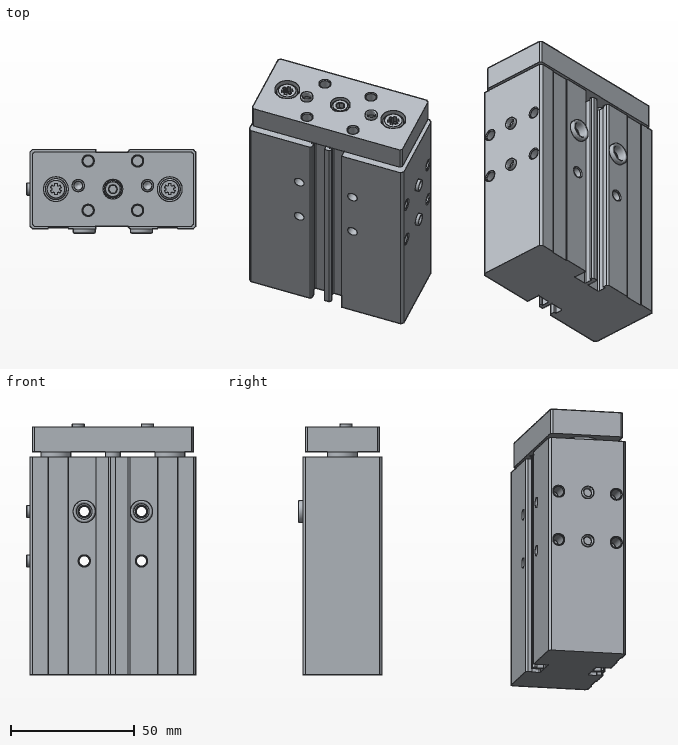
import cadquery as cq
import math

total_height = 101.3
housing_height = 88.0
plate_gap = 2.0
plate_thickness = 10.0
plate_bottom = housing_height + plate_gap
plate_top = plate_bottom + plate_thickness

housing_width = 67.0
housing_depth = 32.0
housing_chamfer = 1.0
left_face = -housing_width / 2
front_face = -housing_depth / 2

slot_start = -6.9
slot_pitch = 7.9
slot_width = 5.2
slot_depth = 6.1
slot_bevel = 0.7
slot_lip_depth = 2.5
slot_undercut = 1.0
slot_floor_bevel = 0.5
rib_setback = 1.0

relief_inner = 17.7
relief_outer = 25.9
relief_slope = 0.2
relief_depth = 0.4

hole_pitch = 20.0
upper_row = 65.9
row_heights = (upper_row, upper_row - hole_pitch)
front_hole_x = 11.5
side_tap_y = 12.0

tap_diameter = 4.2
tap_mouth_diameter = 5.0
side_tap_depth = 10.0
drill_point_angle = 118

large_sleeve_diameter = 9.0
large_sleeve_bore = 6.3
large_sleeve_inset = 2.1
large_sleeve_reach = 1.8
small_sleeve_diameter = 5.0
small_sleeve_bore = 3.5
side_sleeve_inset = 0.7
side_sleeve_reach = 1.3
top_sleeve_inset = 1.2
top_sleeve_reach = total_height - plate_top
top_sleeve_x = 14.0
top_pilot_depth = 4.1

plate_width = 65.0
plate_depth = 30.0
plate_chamfer = 0.8
plate_pattern_y = 1.4
guide_x = 23.0
guide_diameter = 12.2
piston_diameter = 6.0
rod_end_wall = 10.0

piston_recess_diameter = 8.0
piston_recess_depth = 4.1
piston_head_diameter = 7.0
piston_head_chamfer = 0.5
piston_head_sink = 0.6
piston_socket_sides = 6
piston_socket_flats = 3.0
piston_lead_in_diameter = 3.5
piston_socket_depth = 2.9

counterbore_diameter = 10.0
counterbore_depth = 4.1
screw_head_diameter = 8.5
screw_head_chamfer = 0.7
screw_sink = 0.6
torx_core_diameter = 3.0
torx_tip_diameter = 4.5
torx_lobe_width = 1.1
torx_lobe_count = 6
torx_depth = 2.9

INTO_PLATE = (0, 0, -1)
INTO_FRONT = (0, 1, 0)
INTO_LEFT = (1, 0, 0)
UP = (0, 0, 1)


def cylinder(diameter, length, start, direction):
    """Cylinder from a start point along a direction."""
    solid = cq.Solid.makeCylinder(diameter / 2, length, cq.Vector(*start), cq.Vector(*direction))
    return cq.Workplane(solid)


def cone(start_diameter, end_diameter, length, start, direction):
    """Cone or cone frustum from a start point along a direction."""
    solid = cq.Solid.makeCone(
        start_diameter / 2, end_diameter / 2, length, cq.Vector(*start), cq.Vector(*direction)
    )
    return cq.Workplane(solid)


def tapped_hole(depth, start, direction):
    """Cutter for a tapped hole with a 45 degree mouth."""
    mouth_depth = (tap_mouth_diameter - tap_diameter) / 2
    mouth = cone(tap_mouth_diameter, tap_diameter, mouth_depth, start, direction)
    return cylinder(tap_diameter, depth, start, direction).union(mouth)


def drill_point(diameter, start, direction):
    """Conical bottom that a drill leaves."""
    length = diameter / 2 / math.tan(math.radians(drill_point_angle / 2))
    return cone(diameter, 0, length, start, direction)


def front_slot(left_edge, mouth_y):
    """Sensor slot whose right wall has a bevelled lip and an undercut behind it."""
    right_edge = left_edge + slot_width
    undercut_edge = right_edge + slot_undercut
    lip_y = front_face + slot_lip_depth
    floor_y = front_face + slot_depth
    return (
        cq.Workplane("XY")
        .moveTo(left_edge, mouth_y)
        .lineTo(left_edge, floor_y)
        .lineTo(undercut_edge - slot_floor_bevel, floor_y)
        .lineTo(undercut_edge, floor_y - slot_floor_bevel)
        .lineTo(undercut_edge, lip_y)
        .lineTo(right_edge, lip_y)
        .lineTo(right_edge, mouth_y + slot_bevel)
        .lineTo(right_edge + slot_bevel, mouth_y)
        .close()
        .extrude(housing_height)
    )


def front_box(x_start, x_end, depth):
    """Full-height channel cut into the front face."""
    return cq.Workplane("XY").box(
        x_end - x_start, depth, housing_height, centered=False
    ).translate((x_start, front_face, 0))


def slot_pair():
    """Both sensor slots and the set-back of the rib between them."""
    second_start = slot_start + slot_pitch
    set_back = front_box(slot_start, second_start + slot_width, rib_setback)
    left_slot = front_slot(slot_start, front_face + rib_setback)
    right_slot = front_slot(second_start, front_face)
    return set_back.union(left_slot).union(right_slot)


def relief_strip(side):
    """Shallow strip with sloping sides in the front face."""
    floor_y = front_face + relief_depth
    return (
        cq.Workplane("XY")
        .moveTo(side * relief_inner, front_face)
        .lineTo(side * (relief_inner + relief_slope), floor_y)
        .lineTo(side * (relief_outer - relief_slope), floor_y)
        .lineTo(side * relief_outer, front_face)
        .close()
        .extrude(housing_height)
    )


def make_housing():
    housing = (
        cq.Workplane("XY")
        .rect(housing_width, housing_depth)
        .extrude(housing_height)
        .edges("|Z")
        .chamfer(housing_chamfer)
    )
    front_slots = slot_pair()
    housing = housing.cut(front_slots).cut(front_slots.mirror("XZ"))
    for side in (-1, 1):
        housing = housing.cut(relief_strip(side))

    upper_hole_y = front_face + large_sleeve_inset
    for x in (-front_hole_x, front_hole_x):
        seat = (x, front_face, upper_row)
        housing = housing.cut(cylinder(large_sleeve_diameter, large_sleeve_inset, seat, INTO_FRONT))
        for z, y in zip(row_heights, (upper_hole_y, front_face)):
            housing = housing.cut(tapped_hole(housing_depth, (x, y, z), INTO_FRONT))

    for z in row_heights:
        seat = (left_face, 0, z)
        housing = housing.cut(cylinder(small_sleeve_diameter, side_sleeve_inset, seat, INTO_LEFT))
        for y in (-side_tap_y, side_tap_y):
            housing = housing.cut(tapped_hole(side_tap_depth, (left_face, y, z), INTO_LEFT))
            tip_start = (left_face + side_tap_depth, y, z)
            housing = housing.cut(drill_point(tap_diameter, tip_start, INTO_LEFT))

    return housing.cut(make_rods())


def make_rods():
    """Guide rods and piston rod, from inside the housing up to the plate."""
    start_z = rod_end_wall
    length = plate_bottom - start_z
    rods = cylinder(piston_diameter, length, (0, 0, start_z), UP)
    for x in (-guide_x, guide_x):
        rods = rods.add(cylinder(guide_diameter, length, (x, 0, start_z), UP))
    return rods.combine()


def make_piston_head():
    """Round head with a hexagon socket that shows in the middle of the plate."""
    height = piston_recess_depth - piston_head_sink
    head = (
        cq.Workplane("XY", origin=(0, 0, plate_top - piston_recess_depth))
        .circle(piston_head_diameter / 2)
        .extrude(height)
        .faces(">Z")
        .chamfer(piston_head_chamfer)
        .faces(">Z")
        .workplane()
        .transformed(rotate=(0, 0, 90))
        .polygon(piston_socket_sides, piston_socket_flats, circumscribed=True)
        .cutBlind(-piston_socket_depth)
    )
    lead_in_depth = (piston_lead_in_diameter - piston_socket_flats) / 2
    head_top = (0, 0, plate_top - piston_head_sink)
    lead_in = cone(
        piston_lead_in_diameter, piston_socket_flats, lead_in_depth, head_top, INTO_PLATE
    )
    return head.cut(lead_in)


def make_yoke():
    plate = (
        cq.Workplane("XY", origin=(0, 0, plate_bottom))
        .rect(plate_width, plate_depth)
        .extrude(plate_thickness)
        .edges("|Z")
        .chamfer(plate_chamfer)
    )
    for x in (-guide_x, guide_x):
        plate = plate.cut(
            cylinder(counterbore_diameter, counterbore_depth, (x, 0, plate_top), INTO_PLATE)
        )
    plate = plate.cut(
        cylinder(piston_recess_diameter, piston_recess_depth, (0, 0, plate_top), INTO_PLATE)
    )

    for x in (-hole_pitch / 2, hole_pitch / 2):
        for y in (plate_pattern_y - hole_pitch / 2, plate_pattern_y + hole_pitch / 2):
            plate = plate.cut(tapped_hole(plate_thickness, (x, y, plate_top), INTO_PLATE))

    for x in (-top_sleeve_x, top_sleeve_x):
        seat = (x, plate_pattern_y, plate_top)
        pilot_end = (x, plate_pattern_y, plate_top - top_pilot_depth)
        plate = (
            plate.cut(cylinder(small_sleeve_diameter, top_sleeve_inset, seat, INTO_PLATE))
            .cut(cylinder(small_sleeve_bore, top_pilot_depth, seat, INTO_PLATE))
            .cut(drill_point(small_sleeve_bore, pilot_end, INTO_PLATE))
        )
    return plate.union(make_rods()).union(make_piston_head())


def make_guide_screw(x):
    """Screw head with a six-lobe socket, seated in a counterbore of the plate."""
    seat_z = plate_top - counterbore_depth
    head_top = plate_top - screw_sink
    head = (
        cq.Workplane("XY", origin=(x, 0, seat_z))
        .circle(screw_head_diameter / 2)
        .extrude(head_top - seat_z)
        .faces(">Z")
        .chamfer(screw_head_chamfer)
    )
    socket_floor = head_top - torx_depth
    socket = cylinder(torx_core_diameter, torx_depth, (x, 0, socket_floor), UP)
    for lobe in range(torx_lobe_count // 2):
        bar = (
            cq.Workplane("XY", origin=(x, 0, socket_floor))
            .transformed(rotate=(0, 0, 90 + lobe * 360 / torx_lobe_count))
            .rect(torx_tip_diameter, torx_lobe_width)
            .extrude(torx_depth)
        )
        socket = socket.union(bar)
    return head.cut(socket)


def make_sleeve(outer_diameter, bore, inset, reach, seat, direction):
    """Ring seated in a face, with a fully rounded outer end."""
    inner_radius = bore / 2
    outer_radius = outer_diameter / 2
    rounding = (outer_radius - inner_radius) / 2
    shoulder = reach - rounding
    outward = tuple(-component for component in direction)
    across = (outward[1], outward[2], outward[0])
    normal = cq.Vector(*across).cross(cq.Vector(*outward))
    profile_plane = cq.Plane(origin=seat, xDir=across, normal=normal)
    return (
        cq.Workplane(profile_plane)
        .moveTo(inner_radius, -inset)
        .lineTo(outer_radius, -inset)
        .lineTo(outer_radius, shoulder)
        .threePointArc((inner_radius + rounding, reach), (inner_radius, shoulder))
        .close()
        .revolve(360, (0, 0), (0, 1))
    )


housing = make_housing()
yoke = make_yoke()
guide_screws = [make_guide_screw(x) for x in (-guide_x, guide_x)]
front_sleeves = [
    make_sleeve(
        large_sleeve_diameter, large_sleeve_bore, large_sleeve_inset, large_sleeve_reach,
        (x, front_face, upper_row), INTO_FRONT,
    )
    for x in (-front_hole_x, front_hole_x)
]
side_sleeves = [
    make_sleeve(
        small_sleeve_diameter, small_sleeve_bore, side_sleeve_inset, side_sleeve_reach,
        (left_face, 0, z), INTO_LEFT,
    )
    for z in row_heights
]
top_sleeves = [
    make_sleeve(
        small_sleeve_diameter, small_sleeve_bore, top_sleeve_inset, top_sleeve_reach,
        (x, plate_pattern_y, plate_top), INTO_PLATE,
    )
    for x in (-top_sleeve_x, top_sleeve_x)
]

bodies = [housing, yoke, *guide_screws, *front_sleeves, *side_sleeves, *top_sleeves]
result = cq.Compound.makeCompound([body.val() for body in bodies])